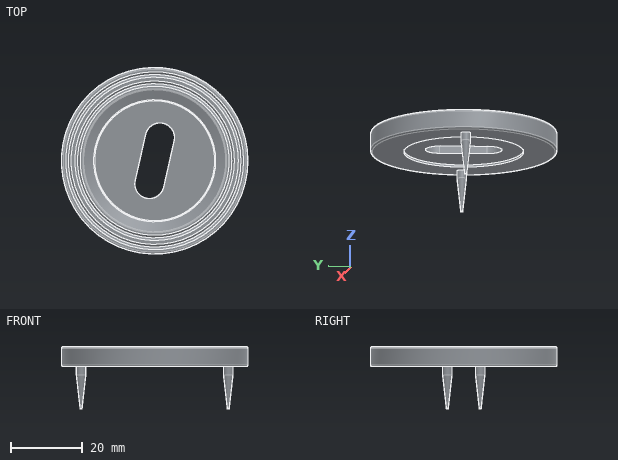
import cadquery as cq

disc_diameter = 52.0
overall_height = 17.35
disc_thickness = 5.6
rim_fillet = 0.5

groove_centre_radii = (24.0, 21.45)
groove_depth = 0.75

dish_radius = 19.9
cone_inner_radius = 17.0
cone_depth = 1.0
step_width = 0.3
step_depth = 0.4
dish_edge_fillet = 0.8

recess_depth = 0.6

slot_width = 8.05
slot_length = 21.3
slot_tilt = 12.7

pin_diameter = 2.7
pin_tip_diameter = 0.55
pin_shank_length = 2.25
pin_length = overall_height - disc_thickness
pin_x = 20.5
pin_y = 4.6


def revolve_profile(points):
    """Revolve a closed outline of (radius, height) points around Z."""
    return cq.Workplane("XZ").polyline(points).close().revolve(360, (0, 0, 0), (0, 1, 0))


def make_groove(centre_radius):
    """Ring of V-shaped section that cuts one groove into the top."""
    return revolve_profile([
        (centre_radius - groove_depth, disc_thickness),
        (centre_radius, disc_thickness - groove_depth),
        (centre_radius + groove_depth, disc_thickness),
    ])


def make_disc():
    """Round plate with rounded rim, dished centre, recessed underside, grooves and a slot."""
    disc_radius = disc_diameter / 2
    cone_bottom = disc_thickness - cone_depth
    floor_radius = cone_inner_radius - step_width
    floor_height = cone_bottom - step_depth
    disc = revolve_profile([
        (0, recess_depth),
        (floor_radius, recess_depth),
        (floor_radius, 0),
        (disc_radius, 0),
        (disc_radius, disc_thickness),
        (dish_radius, disc_thickness),
        (cone_inner_radius, cone_bottom),
        (floor_radius, floor_height),
        (0, floor_height),
    ])

    dish_edge = disc.faces(">Z").edges(cq.selectors.RadiusNthSelector(0))
    disc = dish_edge.fillet(dish_edge_fillet)
    disc = disc.edges(cq.selectors.RadiusNthSelector(-1)).fillet(rim_fillet)

    for centre_radius in groove_centre_radii:
        disc = disc.cut(make_groove(centre_radius))

    slot = (
        cq.Workplane("XY")
        .slot2D(slot_length, slot_width, 90 - slot_tilt)
        .extrude(disc_thickness)
    )
    return disc.cut(slot)


def make_pin(x, y):
    """Short cylindrical shank tapering to a small blunt tip, pointing down."""
    pin = revolve_profile([
        (0, 0),
        (pin_diameter / 2, 0),
        (pin_diameter / 2, -pin_shank_length),
        (pin_tip_diameter / 2, -pin_length),
        (0, -pin_length),
    ])
    return pin.translate((x, y, 0))


disc = make_disc()
pins = [make_pin(side * pin_x, -side * pin_y) for side in (-1, 1)]

result = cq.Compound.makeCompound([disc.val(), *[pin.val() for pin in pins]])